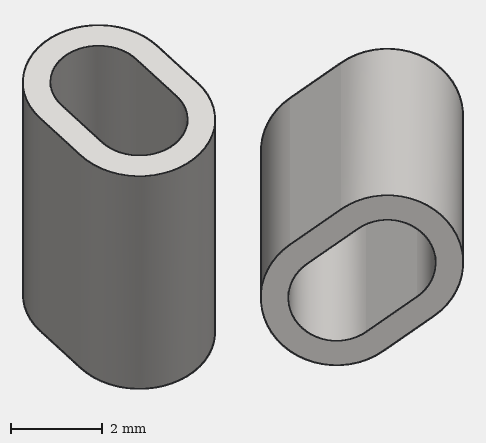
import cadquery as cq

outer_length = 4.7
outer_width = 3.3
sleeve_height = 7.0
wall = 0.6

bore_length = outer_length - 2 * wall
bore_width = outer_width - 2 * wall


def oval_prism(length, width):
    """Upright prism with two flat sides and two half-round ends."""
    return cq.Workplane("XY").slot2D(length, width).extrude(sleeve_height)


outer_body = oval_prism(outer_length, outer_width)
bore = oval_prism(bore_length, bore_width)

result = outer_body.cut(bore)